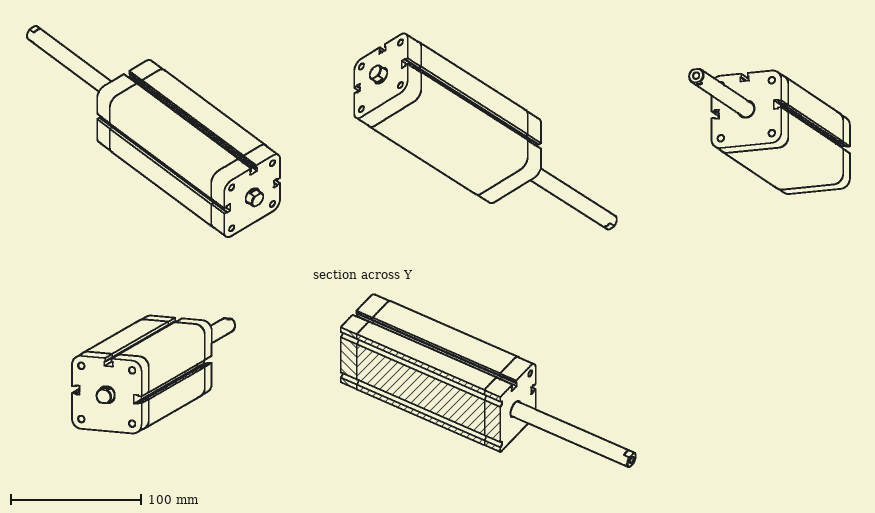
import cadquery as cq

TOTAL_LENGTH = 259.0
FRONT_ROD = 106.5
CAP_LENGTH = 14.8
PROFILE_LENGTH = 116.5
X_ROD_START = -TOTAL_LENGTH / 2
X_FRONT_CAP = X_ROD_START + FRONT_ROD
X_PROFILE = X_FRONT_CAP + CAP_LENGTH
X_REAR_CAP = X_PROFILE + PROFILE_LENGTH
X_ROD_END = TOTAL_LENGTH / 2

COUNTERSINK_ANGLE = 45

MOUNT_SPACING = 42.0
MOUNT_DIAMETER = 5.0
MOUNT_COUNTERSINK = 0.3

PROFILE_WIDTH = 58.0
CAP_WIDTH = 57.5
PROFILE_CORNER_RADIUS = (PROFILE_WIDTH - MOUNT_SPACING) / 2
CAP_CORNER_RADIUS = PROFILE_CORNER_RADIUS - (PROFILE_WIDTH - CAP_WIDTH) / 2

SLOT_OFFSET = 1.5
SLOT_NECK_WIDTH = 5.5
SLOT_NECK_DEPTH = 3.0
SLOT_HEAD_WIDTH = 7.0
SLOT_DEPTH = 6.5
SLOT_ANGLES = (0, 90, 270)

ROD_DIAMETER = 12.2
ROD_CHAMFER = 0.5
BORE_COUNTERSINK = 0.8
FLAT_WIDTH = 10.4
FLAT_LENGTH = 5.2
REAR_FLAT_GAP = 1.0
TAP_DIAMETER = 5.0
TAP_COUNTERSINK = 0.3
TAP_DEPTH = 15.5
TAP_CONE_DEPTH = 1.5


def t_slot(x_start, length, angle):
    """T-slot cutter for the top face, turned about X by the angle."""
    half = PROFILE_WIDTH / 2
    neck = cq.Workplane("XY").box(length, SLOT_NECK_WIDTH, SLOT_DEPTH, centered=(False, True, False))
    head_height = SLOT_DEPTH - SLOT_NECK_DEPTH
    head = cq.Workplane("XY").box(length, SLOT_HEAD_WIDTH, head_height, centered=(False, True, False))
    cutter = neck.union(head).translate((x_start, SLOT_OFFSET, half - SLOT_DEPTH))
    return cutter.rotate((0, 0, 0), (1, 0, 0), angle)


def slotted_block(x_start, length, width, corner_radius):
    """Rounded square block with T-slots, corner holes and the rod bore."""
    block = (
        cq.Workplane("YZ", origin=(x_start, 0, 0))
        .rect(width, width)
        .extrude(length)
        .edges("|X")
        .fillet(corner_radius)
    )
    for angle in SLOT_ANGLES:
        block = block.cut(t_slot(x_start, length, angle))
    mount_holes = (
        cq.Workplane("YZ", origin=(x_start, 0, 0))
        .rect(MOUNT_SPACING, MOUNT_SPACING, forConstruction=True)
        .vertices()
        .circle(MOUNT_DIAMETER / 2)
        .extrude(length)
    )
    rod_bore = cq.Workplane("YZ", origin=(x_start, 0, 0)).circle(ROD_DIAMETER / 2).extrude(length)
    return block.cut(mount_holes).cut(rod_bore)


def cap_countersinks(x_outer, inward):
    """Countersink cutter for the outer face of a cap; inward is +1 or -1 along X."""
    mounts = (
        cq.Workplane("YZ", origin=(x_outer, 0, 0))
        .rect(MOUNT_SPACING, MOUNT_SPACING, forConstruction=True)
        .vertices()
        .circle(MOUNT_DIAMETER / 2 + MOUNT_COUNTERSINK)
        .extrude(inward * MOUNT_COUNTERSINK, taper=COUNTERSINK_ANGLE)
    )
    bore = (
        cq.Workplane("YZ", origin=(x_outer, 0, 0))
        .circle(ROD_DIAMETER / 2 + BORE_COUNTERSINK)
        .extrude(inward * BORE_COUNTERSINK, taper=COUNTERSINK_ANGLE)
    )
    return mounts.union(bore)


def make_end_cap(x_start, x_outer, inward):
    cap = slotted_block(x_start, CAP_LENGTH, CAP_WIDTH, CAP_CORNER_RADIUS)
    return cap.cut(cap_countersinks(x_outer, inward))


def make_profile():
    return slotted_block(X_PROFILE, PROFILE_LENGTH, PROFILE_WIDTH, PROFILE_CORNER_RADIUS)


def wrench_flats(x_start, length):
    """Cutter leaving two parallel flats, above and below the rod axis."""
    outside = cq.Workplane("XY").box(length, ROD_DIAMETER, ROD_DIAMETER, centered=(False, True, True))
    core = cq.Workplane("XY").box(length, ROD_DIAMETER, FLAT_WIDTH, centered=(False, True, True))
    return outside.cut(core).translate((x_start, 0, 0))


def tapped_hole():
    """Blind hole with a conical bottom in the front end of the rod."""
    half_section = (
        cq.Workplane("XY")
        .moveTo(X_ROD_START, 0)
        .lineTo(X_ROD_START, TAP_DIAMETER / 2 + TAP_COUNTERSINK)
        .lineTo(X_ROD_START + TAP_COUNTERSINK, TAP_DIAMETER / 2)
        .lineTo(X_ROD_START + TAP_DEPTH, TAP_DIAMETER / 2)
        .lineTo(X_ROD_START + TAP_DEPTH + TAP_CONE_DEPTH, 0)
        .close()
    )
    return half_section.revolve(360, (0, 0, 0), (1, 0, 0))


def make_rod():
    rod = (
        cq.Workplane("YZ", origin=(X_ROD_START, 0, 0))
        .circle(ROD_DIAMETER / 2)
        .extrude(TOTAL_LENGTH)
        .faces("<X or >X")
        .chamfer(ROD_CHAMFER)
    )
    rod = rod.cut(wrench_flats(X_ROD_START, FLAT_LENGTH))
    x_rear_flats = X_REAR_CAP + CAP_LENGTH + REAR_FLAT_GAP
    rod = rod.cut(wrench_flats(x_rear_flats, X_ROD_END - x_rear_flats))
    return rod.cut(tapped_hole())


end_caps = [
    make_end_cap(x_start, x_outer, inward)
    for x_start, x_outer, inward in (
        (X_FRONT_CAP, X_FRONT_CAP, 1),
        (X_REAR_CAP, X_REAR_CAP + CAP_LENGTH, -1),
    )
]
profile = make_profile()
rod = make_rod()

result = cq.Compound.makeCompound([*(cap.val() for cap in end_caps), profile.val(), rod.val()])